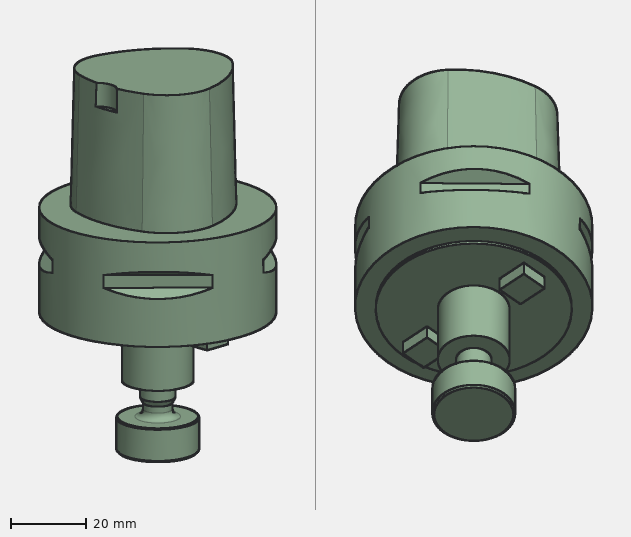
import cadquery as cq
import math

TOTAL_HEIGHT = 105.5
SHOULDER_Z = 67.5
FLANGE_BOTTOM_Z = 38.5
STEP_BOTTOM_Z = 37.6
KEY_BOTTOM_Z = 33.5
SHAFT_BOTTOM_Z = 19.5
NECK_TOP_Z = 15.0
NECK_CONE_Z = 13.4
FLARE_TOP_Z = 11.6
HEAD_TOP_Z = 9.5

FLANGE_DIAMETER = 63.0
STEP_DIAMETER = 52.0
SHAFT_DIAMETER = 19.1
STEM_DIAMETER = 9.5
NECK_DIAMETER = 7.9
FLARE_DIAMETER = 12.0
HEAD_DIAMETER = 22.0
HEAD_TOP_CHAMFER = 0.3
HEAD_BOTTOM_CHAMFER = 0.5

LOBE_TIP_DISTANCE = 23.4
LOBE_RADIUS = 14.8
FLANK_DISTANCE = 20.4
TAPER_SLOPE = 1 / 40

NOTCH_RADIUS = 5.6
NOTCH_FLOOR_Y = -17.7
NOTCH_DEPTH = 6.5

GROOVE_Z = 55.6
GROOVE_FLOOR_DISTANCE = 28.0
GROOVE_FLOOR_WIDTH = 3.5
GROOVE_WALL_ANGLE = 30.0
GROOVE_OVERCUT = 1.1
GROOVE_ANGLES = (45, 135, 225, 315)

KEY_DISTANCE = 17.9
KEY_LENGTH = 9.0
KEY_WIDTH = 7.9


def cylinder(diameter, bottom, top):
    return cq.Workplane("XY", origin=(0, 0, bottom)).circle(diameter / 2).extrude(top - bottom)


def polar(radius, degrees, z):
    angle = math.radians(degrees)
    return cq.Vector(radius * math.cos(angle), radius * math.sin(angle), z)


def shank_wire(inset, z):
    """Three lobes joined by three tangent flank arcs, with one lobe toward +Y."""
    lobe_radius = LOBE_RADIUS - inset
    lobe_offset = LOBE_TIP_DISTANCE - LOBE_RADIUS
    difference = FLANK_DISTANCE - LOBE_RADIUS
    flank_offset = (difference**2 - lobe_offset**2) / (lobe_offset - 2 * difference)

    sideways = lobe_offset * math.sin(math.radians(60))
    along = flank_offset + lobe_offset * math.cos(math.radians(60))
    reach = flank_offset + FLANK_DISTANCE - inset
    half_chord = reach * sideways / math.hypot(sideways, along)
    depth = reach * along / math.hypot(sideways, along) - flank_offset
    joint_radius = math.hypot(half_chord, depth)
    joint_angle = math.degrees(math.atan2(half_chord, depth))

    edges = []
    for lobe_angle in (90, 210, 330):
        flank_angle = lobe_angle + 60
        lobe_start = polar(joint_radius, flank_angle - 120 + joint_angle, z)
        lobe_end = polar(joint_radius, flank_angle - joint_angle, z)
        flank_end = polar(joint_radius, flank_angle + joint_angle, z)
        lobe_tip = polar(lobe_offset + lobe_radius, lobe_angle, z)
        flank_middle = polar(FLANK_DISTANCE - inset, flank_angle, z)
        edges.append(cq.Edge.makeThreePointArc(lobe_start, lobe_tip, lobe_end))
        edges.append(cq.Edge.makeThreePointArc(lobe_end, flank_middle, flank_end))
    return cq.Wire.assembleEdges(edges)


def make_shank():
    tip_inset = TAPER_SLOPE * (TOTAL_HEIGHT - SHOULDER_Z)
    outlines = [shank_wire(0, SHOULDER_Z), shank_wire(tip_inset, TOTAL_HEIGHT)]
    shank = cq.Workplane(cq.Solid.makeLoft(outlines, True))
    notch = cylinder(2 * NOTCH_RADIUS, TOTAL_HEIGHT - NOTCH_DEPTH, TOTAL_HEIGHT)
    return shank.cut(notch.translate((0, NOTCH_FLOOR_Y - NOTCH_RADIUS, 0)))


def make_groove_cutter():
    """Straight trapezoidal bar that opens outward, on the +X side."""
    outer = FLANGE_DIAMETER / 2 + GROOVE_OVERCUT
    floor_half = GROOVE_FLOOR_WIDTH / 2
    rise = (outer - GROOVE_FLOOR_DISTANCE) * math.tan(math.radians(GROOVE_WALL_ANGLE))
    mouth_half = floor_half + rise
    return (
        cq.Workplane("XZ", origin=(0, 0, GROOVE_Z))
        .polyline([
            (GROOVE_FLOOR_DISTANCE, -floor_half),
            (outer, -mouth_half),
            (outer, mouth_half),
            (GROOVE_FLOOR_DISTANCE, floor_half),
        ])
        .close()
        .extrude(FLANGE_DIAMETER / 2, both=True)
    )


def make_flange():
    flange = cylinder(FLANGE_DIAMETER, FLANGE_BOTTOM_Z, SHOULDER_Z)
    cutter = make_groove_cutter()
    for angle in GROOVE_ANGLES:
        flange = flange.cut(cutter.rotate((0, 0, 0), (0, 0, 1), angle))
    return flange.union(cylinder(STEP_DIAMETER, STEP_BOTTOM_Z, FLANGE_BOTTOM_Z))


def make_keys():
    return (
        cq.Workplane("XY", origin=(0, 0, KEY_BOTTOM_Z))
        .pushPoints([(-KEY_DISTANCE, 0), (KEY_DISTANCE, 0)])
        .rect(KEY_LENGTH, KEY_WIDTH)
        .extrude(FLANGE_BOTTOM_Z - KEY_BOTTOM_Z)
    )


def make_screw():
    """Shaft, necked stem and head, turned from a half profile."""
    head_radius = HEAD_DIAMETER / 2
    neck_radius = NECK_DIAMETER / 2
    flare_radius = FLARE_DIAMETER / 2
    pull = 1 - math.sqrt(0.5)
    flare_middle = (
        neck_radius + pull * (flare_radius - neck_radius),
        HEAD_TOP_Z + pull * (FLARE_TOP_Z - HEAD_TOP_Z),
    )
    return (
        cq.Workplane("XZ")
        .moveTo(0, 0)
        .lineTo(head_radius - HEAD_BOTTOM_CHAMFER, 0)
        .lineTo(head_radius, HEAD_BOTTOM_CHAMFER)
        .lineTo(head_radius, HEAD_TOP_Z - HEAD_TOP_CHAMFER)
        .lineTo(head_radius - HEAD_TOP_CHAMFER, HEAD_TOP_Z)
        .lineTo(flare_radius, HEAD_TOP_Z)
        .threePointArc(flare_middle, (neck_radius, FLARE_TOP_Z))
        .lineTo(neck_radius, NECK_CONE_Z)
        .lineTo(STEM_DIAMETER / 2, NECK_TOP_Z)
        .lineTo(STEM_DIAMETER / 2, SHAFT_BOTTOM_Z)
        .lineTo(SHAFT_DIAMETER / 2, SHAFT_BOTTOM_Z)
        .lineTo(SHAFT_DIAMETER / 2, FLANGE_BOTTOM_Z)
        .lineTo(0, FLANGE_BOTTOM_Z)
        .close()
        .revolve(360, (0, 0, 0), (0, 1, 0))
    )


result = make_flange().union(make_shank()).union(make_keys()).union(make_screw())